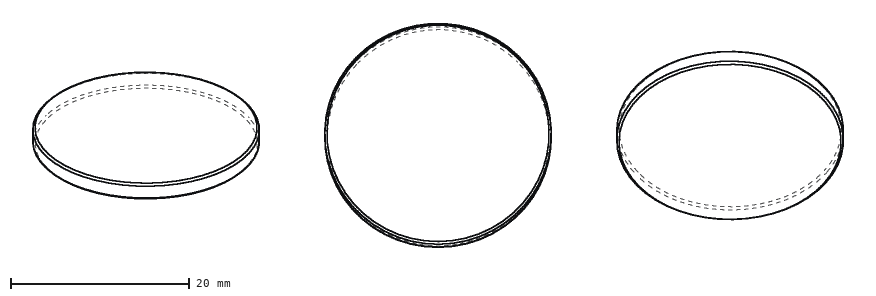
import cadquery as cq

diameter = 25.4
total_height = 3.78
rim_chamfer = 0.25
dome_height = 1.75

radius = diameter / 2
dome_edge_radius = radius - rim_chamfer
dome_edge_z = total_height - dome_height

sphere_radius = (dome_edge_radius**2 + dome_height**2) / (2 * dome_height)
sphere_center_z = total_height - sphere_radius

mid_x = dome_edge_radius / 2
mid_z = sphere_center_z + (sphere_radius**2 - mid_x**2) ** 0.5

half_section = (
    cq.Workplane("YZ")
    .moveTo(0, 0)
    .lineTo(radius - rim_chamfer, 0)
    .lineTo(radius, rim_chamfer)
    .lineTo(radius, dome_edge_z - rim_chamfer)
    .lineTo(dome_edge_radius, dome_edge_z)
    .threePointArc((mid_x, mid_z), (0, total_height))
    .close()
)

result = half_section.revolve(360, (0, 0, 0), (0, 1, 0))